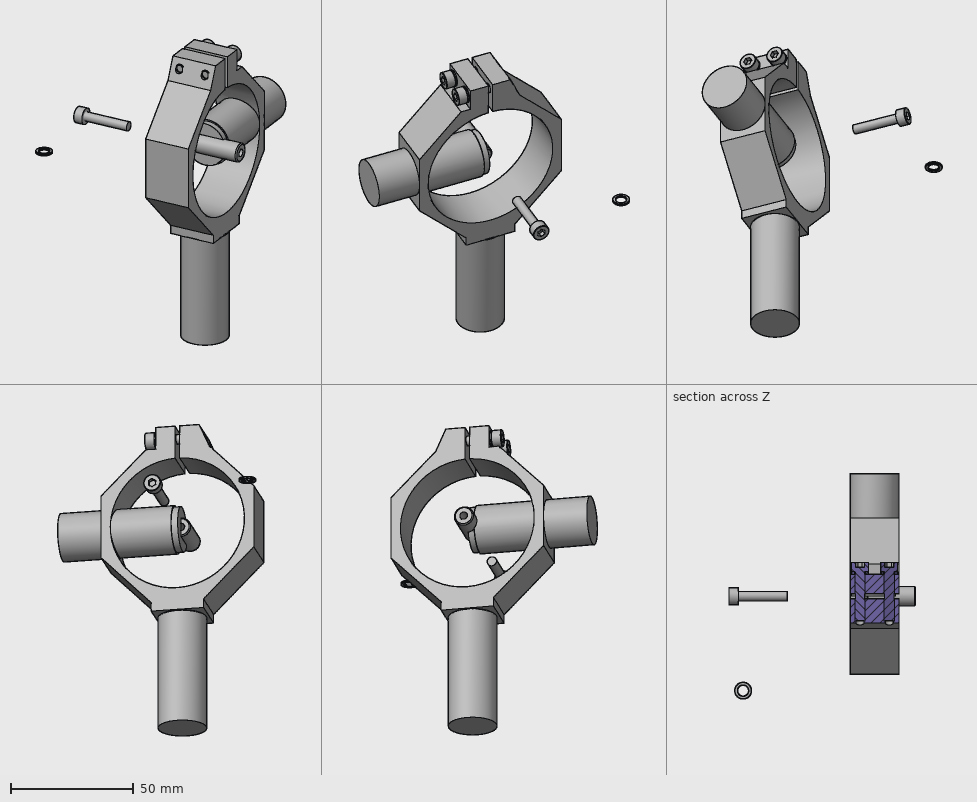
import cadquery as cq
import math


clamp_width = 20.0
octagon_half = 32.0
octagon_corner = octagon_half * math.tan(math.pi / 8)
diagonal_sum = octagon_half + octagon_corner
bore_diameter = 56.1
bore_drop = 0.5
jaw_half_depth = 9.0
jaw_top = 41.5
slit_width = 1.9
foot_half_depth = 11.0
foot_bottom = -38.0

bar_diameter = clamp_width
spigot_diameter = 18.7
spigot_length = 2.7
shoulder_gap = 0.4
overall_height = 127.5
post_length = overall_height - jaw_top + foot_bottom - shoulder_gap
arm_length = 47.4

stud_diameter = 8.0
stud_start = -3.2
stud_length = 20.0
stud_chamfer = 0.5
stud_bore_diameter = 3.2

shank_diameter = 4.0
shank_length = 20.0
head_diameter = 7.0
head_height = 4.0
head_chamfer = 0.19
head_fillet = 0.19
socket_flats = 3.0
socket_depth = 2.0
tapped_diameter = 3.2
screw_spacing = 12.0
screw_level = 37.0

washer_diameter = 7.0
washer_bore = 4.3
washer_thickness = 0.9
washer_chamfer = 0.19

loose_screw_tip = -35.7
loose_washer_center = (-53.8, -38.6, -0.1)

screw_xs = (-screw_spacing / 2, screw_spacing / 2)
screw_seat_y = jaw_half_depth + washer_thickness
to_right = (1, 0, 0)
to_front = (0, -1, 0)
to_back = (0, 1, 0)
upward = (0, 0, 1)
downward = (0, 0, -1)


def cylinder(start, direction, diameter, length):
    solid = cq.Solid.makeCylinder(diameter / 2, length, cq.Vector(*start), cq.Vector(*direction))
    return cq.Workplane(solid)


def plane_along(origin, direction):
    """Plane whose normal points along the given direction, with a horizontal or vertical side."""
    side = upward if direction == to_right else to_right
    return cq.Plane(origin, side, direction)


def make_bar(shoulder, direction, length):
    """Round bar that starts at its shoulder, with the spigot on the other side of the shoulder."""
    backward = tuple(-part for part in direction)
    bar = cylinder(shoulder, direction, bar_diameter, length)
    return bar.union(cylinder(shoulder, backward, spigot_diameter, spigot_length))


def make_clamp():
    outline = [
        (octagon_half, octagon_corner),
        (octagon_corner, octagon_half),
        (jaw_half_depth, octagon_half),
        (jaw_half_depth, jaw_top),
        (-jaw_half_depth, jaw_top),
        (-octagon_corner, octagon_half),
        (-octagon_half, octagon_corner),
        (-octagon_half, -octagon_corner),
        (-foot_half_depth, foot_half_depth - diagonal_sum),
        (-foot_half_depth, foot_bottom),
        (foot_half_depth, foot_bottom),
        (foot_half_depth, foot_half_depth - diagonal_sum),
        (octagon_half, -octagon_corner),
    ]
    clamp = cq.Workplane("YZ").polyline(outline).close().extrude(clamp_width / 2, both=True)
    clamp = clamp.cut(cylinder((-clamp_width / 2, 0, -bore_drop), to_right, bore_diameter, clamp_width))

    slit = cq.Workplane("XY").box(clamp_width, slit_width, jaw_top, centered=(True, True, False))
    clamp = clamp.cut(slit)

    for x in screw_xs:
        seat = (x, screw_seat_y, screw_level)
        clamp = clamp.cut(cylinder(seat, to_front, shank_diameter, shank_length))
        clamp = clamp.cut(cylinder(seat, to_front, tapped_diameter, 2 * shank_length))

    clamp = clamp.cut(cylinder((0, 0, 0), to_back, spigot_diameter, arm_length))
    recess_depth = spigot_length - shoulder_gap
    return clamp.cut(cylinder((0, 0, foot_bottom), upward, spigot_diameter, recess_depth))


def make_lower_post():
    return make_bar((0, 0, foot_bottom - shoulder_gap), downward, post_length)


def make_side_arm(clamp):
    """Arm along Y whose spigot ends on the axis of the cross stud, so half the stud stands out.

    The arm is as thick as the clamp is wide, so it necks down where it passes through the clamp wall.
    """
    stud_end = (stud_start, 0, 0)
    stud = cylinder(stud_end, to_right, stud_diameter, stud_length)
    stud = stud.faces("<X or >X").chamfer(stud_chamfer)
    arm = make_bar((0, spigot_length, 0), to_back, arm_length).union(stud)
    arm = arm.cut(cylinder(stud_end, to_right, stud_bore_diameter, stud_length))
    return arm.cut(clamp)


def make_screw(seat, direction):
    """Socket head screw with the underside of its head at seat and its shank along direction."""
    head = cylinder((0, 0, 0), downward, head_diameter, head_height)
    head = head.faces("<Z").chamfer(head_chamfer)
    shank = cylinder((0, 0, 0), upward, shank_diameter, shank_length)
    screw = head.union(shank)

    shank_circles = screw.edges("%CIRCLE").edges(cq.selectors.RadiusNthSelector(0))
    screw = shank_circles.edges("<Z").fillet(head_fillet)

    socket_corners = socket_flats / math.cos(math.pi / 6)
    socket = cq.Workplane("XY", origin=(0, 0, -head_height)).polygon(6, socket_corners).extrude(socket_depth)
    return screw.cut(socket).solids().val().moved(plane_along(seat, direction).location)


def make_washer(base, direction):
    """Washer that lies on base and rises along direction, with all its rims chamfered."""
    washer = cylinder((0, 0, 0), upward, washer_diameter, washer_thickness)
    washer = washer.cut(cylinder((0, 0, 0), upward, washer_bore, washer_thickness))
    washer = washer.faces("<Z or >Z").chamfer(washer_chamfer)
    return washer.solids().val().moved(plane_along(base, direction).location)


clamp = make_clamp()
lower_post = make_lower_post()
side_arm = make_side_arm(clamp)

screws = [make_screw((x, screw_seat_y, screw_level), to_front) for x in screw_xs]
screws.append(make_screw((loose_screw_tip - shank_length, 0, 0), to_right))

washers = [make_washer((x, jaw_half_depth, screw_level), to_back) for x in screw_xs]
washers.append(make_washer(loose_washer_center, upward))

large_bodies = [body.solids().val() for body in (clamp, lower_post, side_arm)]
result = cq.Compound.makeCompound([*large_bodies, *screws, *washers])